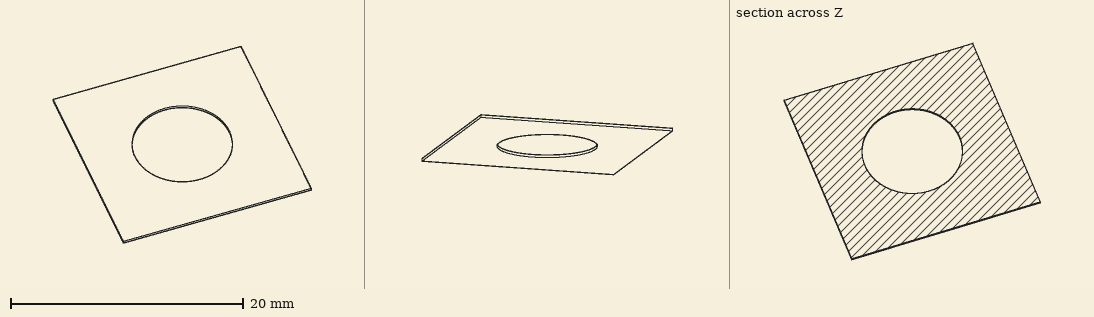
import cadquery as cq

side_length = 17.27
thickness = 0.25
hole_diameter = side_length / 2

plate = cq.Workplane("XY").box(side_length, side_length, thickness)
result = plate.faces(">Z").workplane().hole(hole_diameter)